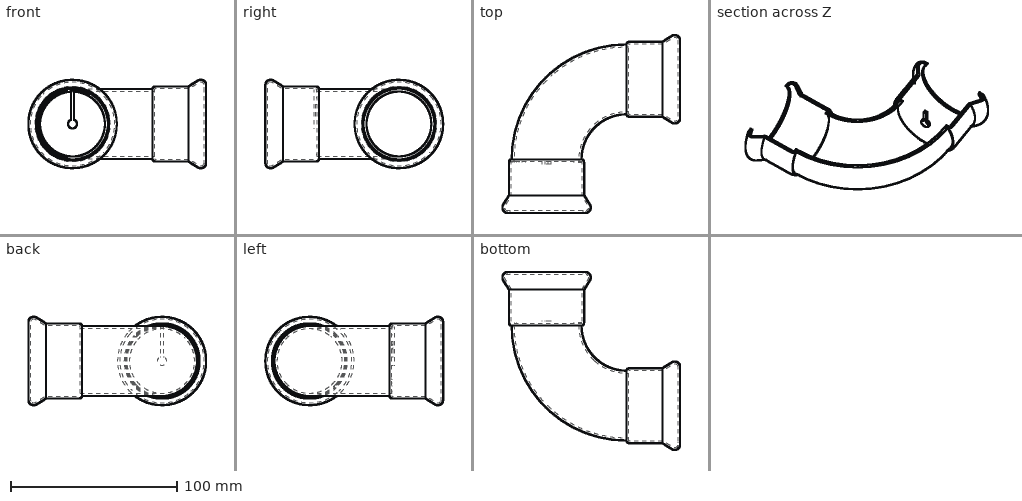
import cadquery as cq
import math

overall = 107.0
bead_radius = 26.7
socket_length = 32.3
bend_radius = overall - bead_radius - socket_length

tube_radius = 21.1
bore_radius = 19.5

collar_radius = 22.7
collar_round_length = 2.2
collar_round_drop = 1.1
socket_bore = 21.3
wall = collar_radius - socket_bore
stop_depth = 31.0
stop_round = 0.7

roll_radius = 3.3
roll_center = bead_radius - roll_radius
flare_depth = 10.6
flare_angle = math.radians(33)
lip_radius = 22.0
blend_length = 0.6

hub_radius = 2.7
spoke_width = 1.8
spoke_thickness = 1.6


def roll_point(radius, angle):
    """Point on the bead section; angle 0 points outward, positive toward the back."""
    return (roll_center + radius * math.cos(angle), roll_radius + radius * math.sin(angle))


def make_socket():
    """Hollow socket along +Y with its mouth at y = 0; section points are (radius, depth)."""
    collar_round_start = socket_length - collar_round_length
    stop_round_start = stop_depth - stop_round
    groove_radius = roll_radius - wall
    groove_end = flare_depth - wall * math.tan(flare_angle / 2)
    diagonal = math.sqrt(0.5)
    section = (
        cq.Workplane("XY")
        .moveTo(lip_radius, 0)
        .lineTo(roll_center, 0)
        .threePointArc(roll_point(roll_radius, 0), roll_point(roll_radius, flare_angle))
        .lineTo(collar_radius, flare_depth)
        .lineTo(collar_radius, collar_round_start)
        .tangentArcPoint((collar_radius - collar_round_drop, socket_length), relative=False)
        .lineTo(bore_radius, socket_length)
        .lineTo(bore_radius, stop_depth)
        .lineTo(socket_bore - stop_round, stop_depth)
        .threePointArc(
            (socket_bore - stop_round * (1 - diagonal), stop_round_start + stop_round * diagonal),
            (socket_bore, stop_round_start),
        )
        .lineTo(socket_bore, groove_end + blend_length)
        .tangentArcPoint(
            (
                socket_bore + blend_length * math.sin(flare_angle),
                groove_end - blend_length * math.cos(flare_angle),
            ),
            relative=False,
        )
        .lineTo(*roll_point(groove_radius, flare_angle))
        .threePointArc(roll_point(groove_radius, 0), roll_point(groove_radius, -math.pi / 2))
        .lineTo(lip_radius, roll_radius - groove_radius)
        .close()
    )
    return section.revolve(360, (0, 0, 0), (0, 1, 0))


def make_bend():
    """Quarter-turn tube from the end of the -Y socket to the end of the +X socket."""
    return (
        cq.Workplane("XZ", origin=(bead_radius, socket_length, 0))
        .circle(tube_radius)
        .circle(bore_radius)
        .revolve(90, (bend_radius, 0, 0), (bend_radius, -1, 0))
    )


def make_spoke():
    """Central hub carried by one spoke from the +Z side of the socket wall."""
    stop_plane = cq.Workplane("XZ", origin=(bead_radius, stop_depth, 0))
    spoke_length = socket_bore - stop_round
    hub = stop_plane.circle(hub_radius).extrude(spoke_thickness)
    spoke = stop_plane.center(0, spoke_length / 2).rect(spoke_width, spoke_length).extrude(spoke_thickness)
    return hub.union(spoke)


front_socket = make_socket().translate((bead_radius, 0, 0))
side_socket = make_socket().rotate((0, 0, 0), (0, 0, 1), 90)
side_socket = side_socket.translate((overall, overall - bead_radius, 0))

result = make_bend().union(front_socket).union(side_socket).union(make_spoke())